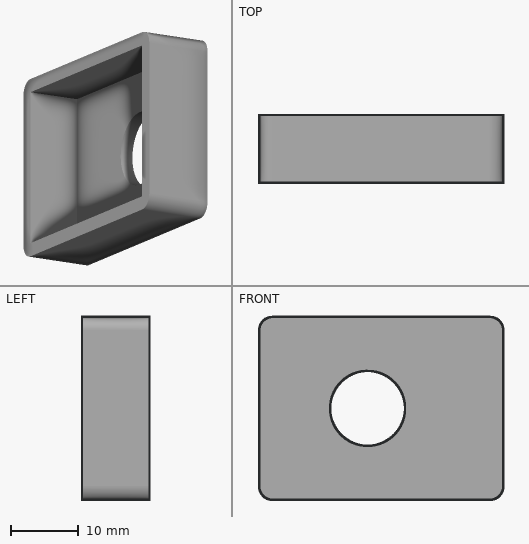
import cadquery as cq

length = 36.0
depth = 10.0
height = 27.0
corner_radius = 2.0

wall = 2.0

window_diameter = 11.0
window_offset_x = -2.0

shell = cq.Workplane("XY").box(length, depth, height).edges("|Y").fillet(corner_radius)

cavity = (
    cq.Workplane("XY")
    .box(length - 2 * wall, depth, height - 2 * wall)
    .translate((0, wall, 0))
)

window = (
    cq.Workplane("XZ")
    .center(window_offset_x, 0)
    .circle(window_diameter / 2)
    .extrude(depth)
)

result = shell.cut(cavity).cut(window)